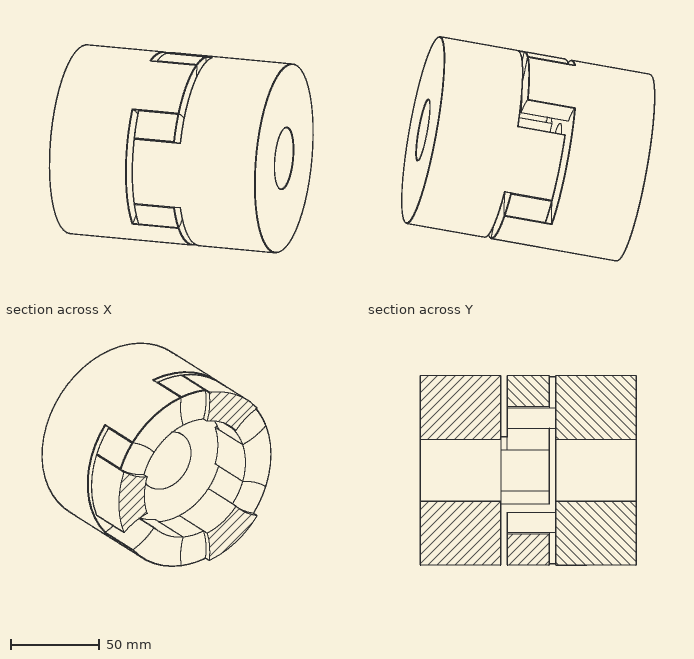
import cadquery as cq
import math


coupling_length = 123.0
outer_radius = 54.0
bore_radius = 17.5
hub_body_length = 46.0
tip_clearance = 3.5
edge_break = 0.39

jaw_count = 3
jaw_inner_radius = 36.0
jaw_outer_half_width = 19.4
jaw_inner_half_width = 11.6
flank_radius = 39.4

jaw_length = coupling_length - 2 * hub_body_length - tip_clearance
hub_length = hub_body_length + jaw_length
pad_start = hub_body_length + tip_clearance
pad_length = coupling_length - 2 * pad_start
jaw_pitch = 360 / jaw_count
pad_pitch = jaw_pitch / 2
jaw_outer_half_angle = math.degrees(math.asin(jaw_outer_half_width / outer_radius))
jaw_inner_half_angle = math.degrees(math.asin(jaw_inner_half_width / jaw_inner_radius))

near_jaw_angle = 180
far_jaw_angle = 0
pad_count = 5
first_pad_angle = -1.5 * pad_pitch

tolerance = 0.01


def section_point(radius, angle):
    """YZ point at a radius and an angle."""
    turn = math.radians(angle)
    return (-radius * math.cos(turn), radius * math.sin(turn))


def flank_middle(start, end):
    """Middle of a flank arc that bows to the left of the way from start to end."""
    dy = end[0] - start[0]
    dz = end[1] - start[1]
    chord = math.hypot(dy, dz)
    bow = flank_radius - math.sqrt(flank_radius**2 - (chord / 2) ** 2)
    return (
        (start[0] + end[0]) / 2 - bow * dz / chord,
        (start[1] + end[1]) / 2 + bow * dy / chord,
    )


def space_between_jaws(angle, jaw_spacing, start_x, length):
    """Prism filling the space between two jaws that stand jaw_spacing degrees apart."""
    outer_half_angle = jaw_spacing / 2 - jaw_outer_half_angle
    inner_half_angle = jaw_spacing / 2 - jaw_inner_half_angle
    low_outer = section_point(outer_radius, angle - outer_half_angle)
    high_outer = section_point(outer_radius, angle + outer_half_angle)
    low_inner = section_point(jaw_inner_radius, angle - inner_half_angle)
    high_inner = section_point(jaw_inner_radius, angle + inner_half_angle)
    return (
        cq.Workplane("YZ", origin=(start_x, 0, 0))
        .moveTo(*low_outer)
        .threePointArc(section_point(outer_radius, angle), high_outer)
        .threePointArc(flank_middle(high_outer, high_inner), high_inner)
        .threePointArc(section_point(jaw_inner_radius, angle), low_inner)
        .threePointArc(flank_middle(low_inner, low_outer), low_outer)
        .close()
        .extrude(length)
    )


def on_outer_surface(edge):
    """True for an edge whose middle lies on the outer cylinder."""
    middle = edge.positionAt(0.5)
    return abs(math.hypot(middle.y, middle.z) - outer_radius) < tolerance


def make_hub_blank(back_x, floor_x, tip_x, direction):
    """Turned hub with chamfered back rims and a ring from floor to tip in place of the jaws."""
    return (
        cq.Workplane("XZ")
        .moveTo(back_x, bore_radius + edge_break)
        .lineTo(back_x, outer_radius - edge_break)
        .lineTo(back_x + direction * edge_break, outer_radius)
        .lineTo(tip_x, outer_radius)
        .lineTo(tip_x, jaw_inner_radius)
        .lineTo(floor_x, jaw_inner_radius)
        .lineTo(floor_x, bore_radius)
        .lineTo(back_x + direction * edge_break, bore_radius)
        .close()
        .revolve(360, (0, 0, 0), (1, 0, 0))
    )


def make_hub(back_x, direction, jaw_angle):
    """Hub with its back face at back_x, its jaws pointing along X in direction 1 or -1."""
    floor_x = back_x + direction * hub_body_length
    tip_x = back_x + direction * hub_length

    def on_jaw_part(edge):
        return abs(edge.positionAt(0.5).x - back_x) > hub_body_length - tolerance

    hub = make_hub_blank(back_x, floor_x, tip_x, direction)
    for i in range(jaw_count):
        opening_angle = jaw_angle + (i + 0.5) * jaw_pitch
        hub = hub.cut(space_between_jaws(opening_angle, jaw_pitch, min(floor_x, tip_x), jaw_length))
    return hub.edges().filter(on_outer_surface).filter(on_jaw_part).chamfer(edge_break)


def make_pad(angle):
    """Pad between a near jaw and a far jaw, chamfered around its outer face."""
    pad = space_between_jaws(angle, pad_pitch, pad_start, pad_length)
    return pad.edges().filter(on_outer_surface).chamfer(edge_break)


near_hub = make_hub(0, 1, near_jaw_angle)
far_hub = make_hub(coupling_length, -1, far_jaw_angle)
pads = [make_pad(first_pad_angle + i * pad_pitch) for i in range(pad_count)]

result = cq.Compound.makeCompound([near_hub.val(), far_hub.val(), *[pad.val() for pad in pads]])